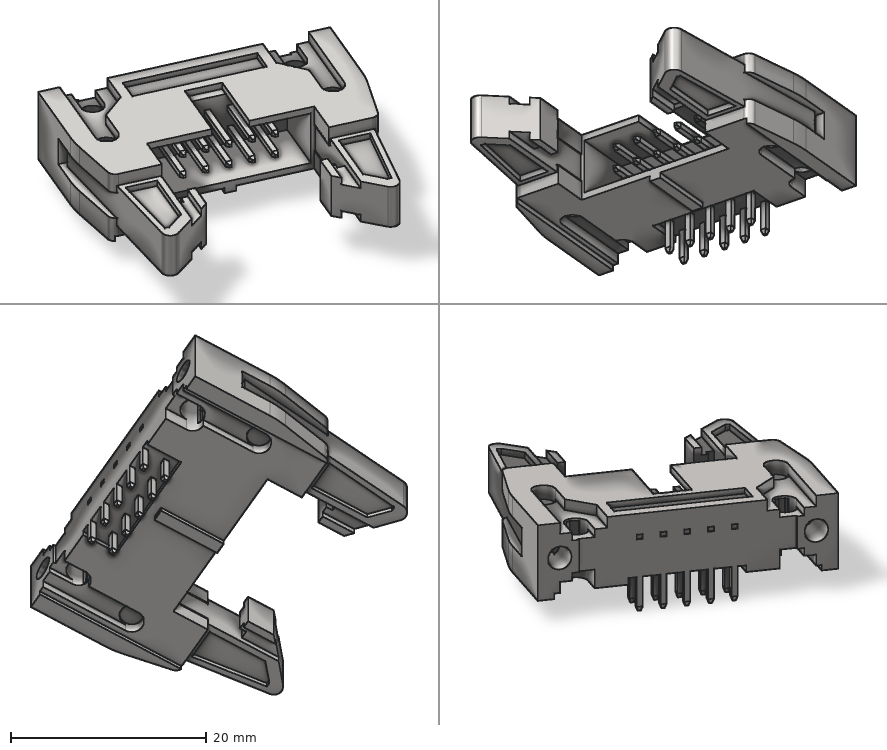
import cadquery as cq
import math


PITCH = 2.55
PIN_COUNT = 5
PIN_SIZE = 0.65
PIN_ROOT_Z = (-6.85, -2.75)
CONTACT_ROOT_X = 6.12
PIN_TIP_LENGTH = 0.5
PIN_TIP_TAPER = 18.0
DIMPLE_DEPTH = 0.2
DIMPLE_HEIGHT = 0.5

LENGTH_Y = 32.2
HALF_Y = LENGTH_Y / 2
HALF_HEIGHT = 3.83
FOOT_HEIGHT = 0.6
FOOT_INNER_Y = 14.33
REAR_X = 0.25
PIN_ROW_X = (REAR_X + PIN_SIZE / 2, REAR_X + PIN_SIZE / 2 + PITCH)
TOWER_REAR_Y = 11.7
HEADER_FRONT_X = 12.9
TOWER_FRONT_X = 17.03
TOWER_INNER_Y = 9.2
BEND_X = 9.95
TOWER_CORNER_Y = 14.75
BEND_RADIUS = 10.63
CORNER_RADIUS = 0.87

CAVITY_REAR_X = 6.38
CAVITY_HALF_Y = 8.85
CAVITY_HALF_HEIGHT = 3.05
KEY_REAR_X = 5.38
KEY_WIDTH = 4.12
KEY_RIB_WIDTH = 1.3
WINDOW_X = (1.65, 4.3)
WINDOW_WIDTH = 14.8
WINDOW_DEPTH = 0.65
PIN_RECESS_WIDTH = 12.62
PIN_RECESS_DEPTH = 0.75

HOLE_DIAMETER = 2.5
HOLE_RADIUS = HOLE_DIAMETER / 2
MOUNT_X = 2.7
MOUNT_Y = 11.17
MOUNT_SLOT_DEPTH = 2.05
PIVOT_X = 9.9
PIVOT_Y = 12.45
PIVOT_DEPTH = 1.55
POCKET_DEPTH = 1.2
POCKET_WIDE_Y = 8.55
POCKET_RAMP_X = (4.0, 6.55)
REAR_HOLE_Y = 13.75

LATCH_REAR_X = 17.13
NECK_REAR_X = 16.58
LATCH_TIP_X = 27.72
LATCH_INNER_Y = 9.3
LATCH_HALF_HEIGHT = 2.48
LATCH_SLOT_HALF_HEIGHT = 1.58
TIP_RADIUS = 0.95
TIP_CENTER_X = LATCH_TIP_X - TIP_RADIUS
TIP_CENTER_Y = 12.15
TAPER_ANGLE = math.radians(6.4)
NOSE_ANGLE = math.radians(49.5)
HOOK_REAR_X = 20.45
HOOK_THROAT_X = 21.2
HOOK_LIP_Y = 8.47
HOOK_RIDGE_Y = 7.73
HOOK_INNER_Y = 6.9
HOOK_STEP = 0.85
GRIP_DEPTH = 0.68
GRIP_OUTLINE = [(17.75, 13.5), (26.15, 12.5), (26.15, 12.0), (24.4, 10.0), (17.75, 10.0)]
LATCH_SLOT_X = 5.65
LATCH_HEEL_X = 4.9
LATCH_STEP_X = 6.38
LATCH_HEEL_Y = (13.07, 14.68)

CHAMBER_X = 4.05
CHAMBER_INNER_Y = 9.5
CHAMBER_WINDOW_Y = (10.45, 11.9)
CHAMBER_HALF_HEIGHT = 2.38
NOTCH_HALF_HEIGHT = 2.2


def box(x, y, z):
    """Box spanning the given (low, high) pairs."""
    size = (x[1] - x[0], y[1] - y[0], z[1] - z[0])
    return cq.Workplane("XY").box(*size, centered=False).translate((x[0], y[0], z[0]))


def prism(points, z):
    """Polygon in XY extruded between the two levels of z."""
    return cq.Workplane("XY").workplane(offset=z[0]).polyline(points).close().extrude(z[1] - z[0])


def centered(width):
    return (-width / 2, width / 2)


def both_sides(shape):
    """The shape together with its mirror image across Y = 0."""
    return shape.union(shape.mirror("XZ"))


def taper_y(x):
    """Y of the latch's straight outer face at the given X."""
    tangent_x = TIP_CENTER_X + TIP_RADIUS * math.sin(TAPER_ANGLE)
    tangent_y = TIP_CENTER_Y + TIP_RADIUS * math.cos(TAPER_ANGLE)
    return tangent_y + (tangent_x - x) * math.tan(TAPER_ANGLE)


def nose_x(y):
    """X of the latch's slanted nose at the given Y."""
    tangent_x = TIP_CENTER_X + TIP_RADIUS * math.sin(NOSE_ANGLE)
    tangent_y = TIP_CENTER_Y - TIP_RADIUS * math.cos(NOSE_ANGLE)
    return tangent_x + (y - tangent_y) / math.tan(NOSE_ANGLE)


def body_blank():
    half = [
        (0, TOWER_REAR_Y),
        (0, HALF_Y),
        (BEND_X, HALF_Y),
        (TOWER_FRONT_X, TOWER_CORNER_Y),
        (TOWER_FRONT_X, TOWER_INNER_Y),
        (MOUNT_X, TOWER_INNER_Y),
        (MOUNT_X, MOUNT_Y),
        (REAR_X, MOUNT_Y),
        (REAR_X, TOWER_REAR_Y),
    ]
    bottom = -HALF_HEIGHT - FOOT_HEIGHT
    tower = prism(half, (bottom, HALF_HEIGHT))
    tower = tower.edges(cq.selectors.NearestToPointSelector((BEND_X, HALF_Y, 0))).fillet(BEND_RADIUS)
    corner = cq.selectors.NearestToPointSelector((TOWER_FRONT_X, TOWER_CORNER_Y, 0))
    tower = tower.edges(corner).fillet(CORNER_RADIUS)
    tower = tower.cut(box((0, TOWER_FRONT_X), (0, FOOT_INNER_Y), (bottom, -HALF_HEIGHT)))
    header = box((REAR_X, HEADER_FRONT_X), centered(2 * TOWER_REAR_Y), centered(2 * HALF_HEIGHT))
    key_rib = box((KEY_REAR_X, HEADER_FRONT_X), centered(KEY_RIB_WIDTH), (bottom, -HALF_HEIGHT))
    return both_sides(tower).union(header).union(key_rib)


def header_cuts():
    cavity_x = (CAVITY_REAR_X, HEADER_FRONT_X)
    cavity = box(cavity_x, centered(2 * CAVITY_HALF_Y), centered(2 * CAVITY_HALF_HEIGHT))
    key = box((KEY_REAR_X, HEADER_FRONT_X), centered(KEY_WIDTH), (CAVITY_HALF_HEIGHT, HALF_HEIGHT))
    window = box(WINDOW_X, centered(WINDOW_WIDTH), (HALF_HEIGHT - WINDOW_DEPTH, HALF_HEIGHT))
    recess_z = (-HALF_HEIGHT, -HALF_HEIGHT + PIN_RECESS_DEPTH)
    recess = box((REAR_X, WINDOW_X[1]), centered(PIN_RECESS_WIDTH), recess_z)
    return cavity.union(key).union(window).union(recess)


def rear_slot(end_x, y, z):
    """Slot running in from the rear with a round end."""
    straight = box((0, end_x), (y - HOLE_RADIUS, y + HOLE_RADIUS), z)
    end = cq.Workplane("XY").workplane(offset=z[0]).center(end_x, y).circle(HOLE_RADIUS)
    return straight.union(end.extrude(z[1] - z[0]))


def latch_chamber():
    """Window in the mounting hole, the chamber behind it and a notch ending in a round barrel."""
    chamber_z = centered(2 * CHAMBER_HALF_HEIGHT)
    window = box((MOUNT_X, CHAMBER_X), CHAMBER_WINDOW_Y, chamber_z)
    chamber = box((CHAMBER_X, LATCH_HEEL_X), (CHAMBER_INNER_Y, LATCH_HEEL_Y[0]), chamber_z)
    barrel_x = LATCH_HEEL_X + HOLE_RADIUS
    notch_y = (PIVOT_Y - HOLE_RADIUS, CHAMBER_WINDOW_Y[1])
    notch = box((LATCH_HEEL_X, barrel_x), notch_y, centered(2 * NOTCH_HALF_HEIGHT))
    barrel = cq.Workplane("XY").center(barrel_x, PIVOT_Y).circle(HOLE_RADIUS)
    notch = notch.cut(barrel.extrude(NOTCH_HALF_HEIGHT, both=True))
    return window.union(chamber).union(notch)


def tower_cuts():
    pocket_z = (HALF_HEIGHT - POCKET_DEPTH, HALF_HEIGHT)
    wide_end = prism(
        [
            (0, PIVOT_Y),
            (0, POCKET_WIDE_Y),
            (POCKET_RAMP_X[0], POCKET_WIDE_Y),
            (POCKET_RAMP_X[1], PIVOT_Y - HOLE_RADIUS),
            (POCKET_RAMP_X[1], PIVOT_Y),
        ],
        pocket_z,
    )
    mount_z = (HALF_HEIGHT - MOUNT_SLOT_DEPTH, HALF_HEIGHT)
    top_and_bottom = rear_slot(PIVOT_X, PIVOT_Y, pocket_z).union(rear_slot(MOUNT_X, MOUNT_Y, mount_z))
    pivot = cq.Workplane("XY").workplane(offset=HALF_HEIGHT - PIVOT_DEPTH)
    pivot = pivot.center(PIVOT_X, PIVOT_Y).circle(HOLE_RADIUS).extrude(PIVOT_DEPTH)
    top_and_bottom = top_and_bottom.union(pivot)
    cuts = top_and_bottom.union(top_and_bottom.mirror("XY")).union(wide_end)

    mount = cq.Workplane("XY").center(MOUNT_X, MOUNT_Y).circle(HOLE_RADIUS).extrude(HALF_HEIGHT, both=True)
    rear_hole = cq.Workplane("YZ").center(REAR_HOLE_Y, 0).circle(HOLE_RADIUS).extrude(LATCH_HEEL_X)
    slot_z = centered(2 * LATCH_SLOT_HALF_HEIGHT)
    latch_gap = prism(
        [
            (LATCH_HEEL_X, LATCH_HEEL_Y[0]),
            (LATCH_SLOT_X, LATCH_HEEL_Y[1]),
            (LATCH_STEP_X, LATCH_HEEL_Y[1]),
            (LATCH_STEP_X, taper_y(LATCH_STEP_X)),
            (LATCH_REAR_X, taper_y(LATCH_REAR_X)),
            (LATCH_REAR_X, HALF_Y),
            (LATCH_SLOT_X, HALF_Y),
            (LATCH_SLOT_X, REAR_HOLE_Y + HOLE_RADIUS),
            (LATCH_HEEL_X, REAR_HOLE_Y + HOLE_RADIUS),
        ],
        slot_z,
    )
    inner_opening = box((HEADER_FRONT_X, TOWER_FRONT_X), (TOWER_INNER_Y, LATCH_INNER_Y), slot_z)
    latch_gap = latch_gap.union(inner_opening)
    return both_sides(cuts.union(mount).union(rear_hole).union(latch_chamber()).union(latch_gap))


def latch_grip():
    """Shallow recess in the top face of the latch."""
    return prism(GRIP_OUTLINE, (LATCH_HALF_HEIGHT - GRIP_DEPTH, LATCH_HALF_HEIGHT))


def latches():
    outer_tangent_x = TIP_CENTER_X + TIP_RADIUS * math.sin(TAPER_ANGLE)
    nose_tangent_y = TIP_CENTER_Y - TIP_RADIUS * math.cos(NOSE_ANGLE)
    outline = (
        cq.Workplane("XY")
        .workplane(offset=-LATCH_HALF_HEIGHT)
        .moveTo(LATCH_REAR_X, LATCH_INNER_Y)
        .lineTo(LATCH_REAR_X, taper_y(LATCH_REAR_X))
        .lineTo(outer_tangent_x, taper_y(outer_tangent_x))
        .threePointArc((LATCH_TIP_X, TIP_CENTER_Y), (nose_x(nose_tangent_y), nose_tangent_y))
        .lineTo(nose_x(HOOK_INNER_Y), HOOK_INNER_Y)
        .lineTo(HOOK_REAR_X, HOOK_INNER_Y)
        .lineTo(HOOK_REAR_X, HOOK_LIP_Y)
        .lineTo(HOOK_THROAT_X, HOOK_LIP_Y)
        .lineTo(HOOK_THROAT_X, LATCH_INNER_Y)
        .close()
    )
    arm = outline.extrude(2 * LATCH_HALF_HEIGHT)
    step_z = (LATCH_HALF_HEIGHT - HOOK_STEP, LATCH_HALF_HEIGHT)
    hook_step = box((HOOK_REAR_X, LATCH_TIP_X), (HOOK_RIDGE_Y, LATCH_INNER_Y), step_z)
    upper_cuts = hook_step.union(latch_grip())
    arm = arm.cut(upper_cuts).cut(upper_cuts.mirror("XY"))
    neck = prism(
        [
            (NECK_REAR_X, LATCH_INNER_Y),
            (NECK_REAR_X, taper_y(NECK_REAR_X)),
            (LATCH_REAR_X, taper_y(LATCH_REAR_X)),
            (LATCH_REAR_X, LATCH_INNER_Y),
        ],
        centered(2 * LATCH_SLOT_HALF_HEIGHT),
    )
    return both_sides(arm.union(neck))


def square_pin(length):
    """Square pin rising from the origin along Z, with a tapered tip."""
    shank_length = length - PIN_TIP_LENGTH
    shank = cq.Workplane("XY").rect(PIN_SIZE, PIN_SIZE).extrude(shank_length)
    tip = cq.Workplane("XY").workplane(offset=shank_length).rect(PIN_SIZE, PIN_SIZE)
    return shank.union(tip.extrude(PIN_TIP_LENGTH, taper=PIN_TIP_TAPER))


def add_pins(part):
    """Board pins pointing down, contact pins in the cavity and the dimples behind the upper row."""
    board_pin = square_pin(PIN_ROOT_Z[1] - PIN_ROOT_Z[0]).rotate((0, 0, 0), (1, 0, 0), 180)
    contact_pin = square_pin(HEADER_FRONT_X - CONTACT_ROOT_X).rotate((0, 0, 0), (0, 1, 0), 90)
    for i in range(PIN_COUNT):
        y = (i - (PIN_COUNT - 1) / 2) * PITCH
        for x in PIN_ROW_X:
            part = part.union(board_pin.translate((x, y, PIN_ROOT_Z[1])))
        for z in (-PITCH / 2, PITCH / 2):
            part = part.union(contact_pin.translate((CONTACT_ROOT_X, y, z)))
        dimple = box((REAR_X, REAR_X + DIMPLE_DEPTH), centered(PIN_SIZE), centered(DIMPLE_HEIGHT))
        part = part.cut(dimple.translate((0, y, PITCH / 2)))
    return part


body = body_blank().cut(header_cuts()).cut(tower_cuts())
result = add_pins(body.union(latches()))